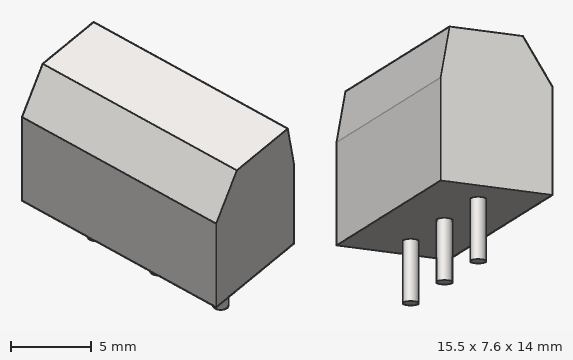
import cadquery as cq

length = 15.5
depth = 7.6
housing_height = 10.0
front_slope_depth = 2.02
front_slope_height = 3.02
back_slope_depth = 0.6
back_slope_height = 3.33

pin_count = 3
pin_diameter = 1.0
pin_length = 4.0
pin_pitch = 5.0

front_y = -depth / 2
back_y = depth / 2


def make_housing():
    """Block with a sloped face along the front and back top edges."""
    profile = [
        (front_y, 0),
        (back_y, 0),
        (back_y, housing_height - back_slope_height),
        (back_y - back_slope_depth, housing_height),
        (front_y + front_slope_depth, housing_height),
        (front_y, housing_height - front_slope_height),
    ]
    return (
        cq.Workplane("YZ")
        .polyline(profile)
        .close()
        .extrude(length / 2, both=True)
    )


def make_pin(x):
    """Round pin hanging from the underside of the housing at x."""
    return cq.Workplane("XY").center(x, 0).circle(pin_diameter / 2).extrude(-pin_length)


housing = make_housing()

pins = []
for index in range(pin_count):
    pin_x = (index - (pin_count - 1) / 2) * pin_pitch
    pins.append(make_pin(pin_x).val())

result = cq.Compound.makeCompound([housing.val(), *pins])